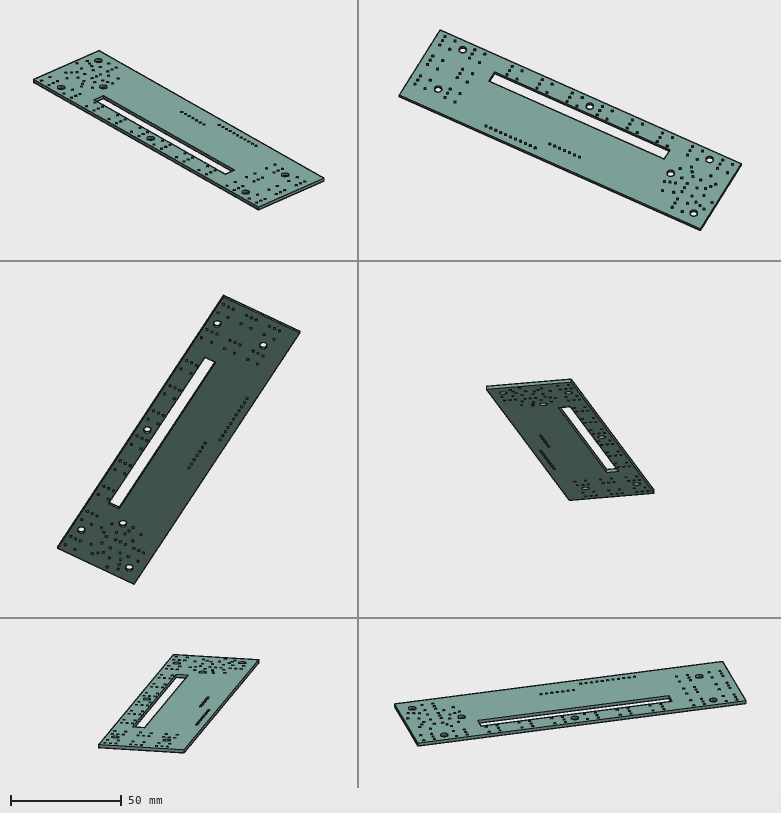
import cadquery as cq
import math

board_length = 154.4
board_width = 39.7
board_thickness = 1.5

pin_diameter = 1.0
mount_diameter = 3.4

switch_square = 5.1

ring_x = 14.2
ring_y = 23.3
ring_radius = 9.4
ring_count = 5

row_y = 4.6
row_first_x = 5.9
row_last_x = 113.8
row_count = 8

block_columns = [133.0, 148.2]
block_rows = [row_y, 16.5, 28.5]

short_header_x = 66.5
short_header_y = 31.0
short_header_span = 15.3
short_header_count = 7
long_header_x = 86.6
long_header_y = 36.0
long_header_span = 25.3
long_header_count = 11

mount_right_x = 140.3
mount_points = [
    (6.6, 33.5),
    (26.0, 19.5),
    (13.7, row_y),
    (75.2, row_y),
    (mount_right_x, row_y),
    (mount_right_x, block_rows[-1]),
]

window_left = 32.1
window_front = 8.5
window_length = 89.9
window_width = 5.5


def spaced(first, span, count):
    """Evenly spaced coordinates from first to first + span."""
    return [first + span * i / (count - 1) for i in range(count)]


def switch_pins(x, y, angle=0.0):
    """Five pin positions of a switch centred at (x, y), turned by angle in degrees."""
    h = switch_square / 2
    cosine = math.cos(math.radians(angle))
    sine = math.sin(math.radians(angle))
    local_pins = [(-h, -h), (h, -h), (h, h), (-h, h), (h, 0)]
    return [(x + u * cosine - v * sine, y + u * sine + v * cosine) for u, v in local_pins]


def ring_pins():
    """Pins of the central switch and of the ring around it, starting at the +Y side."""
    pins = switch_pins(ring_x, ring_y)
    for i in range(ring_count):
        angle = 360.0 * i / ring_count
        x = ring_x - ring_radius * math.sin(math.radians(angle))
        y = ring_y + ring_radius * math.cos(math.radians(angle))
        pins += switch_pins(x, y, angle)
    return pins


def row_pins():
    """Pins of the switches along the front edge."""
    pins = []
    for x in spaced(row_first_x, row_last_x - row_first_x, row_count):
        pins += switch_pins(x, row_y)
    return pins


def block_pins():
    """Pins of the switches at the right end."""
    pins = []
    for x in block_columns:
        for y in block_rows:
            pins += switch_pins(x, y)
    return pins


def header_pins(first_x, y, span, count):
    """Pins of a straight header along X."""
    return [(x, y) for x in spaced(first_x, span, count)]


def through_cylinders(points, diameter):
    """Cutters through the board thickness at the given points."""
    return cq.Workplane("XY").pushPoints(points).circle(diameter / 2).extrude(board_thickness)


pin_points = ring_pins() + row_pins() + block_pins()
pin_points += header_pins(short_header_x, short_header_y, short_header_span, short_header_count)
pin_points += header_pins(long_header_x, long_header_y, long_header_span, long_header_count)

board = cq.Workplane("XY").box(board_length, board_width, board_thickness, centered=False)
window = (
    cq.Workplane("XY")
    .box(window_length, window_width, board_thickness, centered=False)
    .translate((window_left, window_front, 0))
)

result = (
    board.cut(window)
    .cut(through_cylinders(mount_points, mount_diameter))
    .cut(through_cylinders(pin_points, pin_diameter))
)